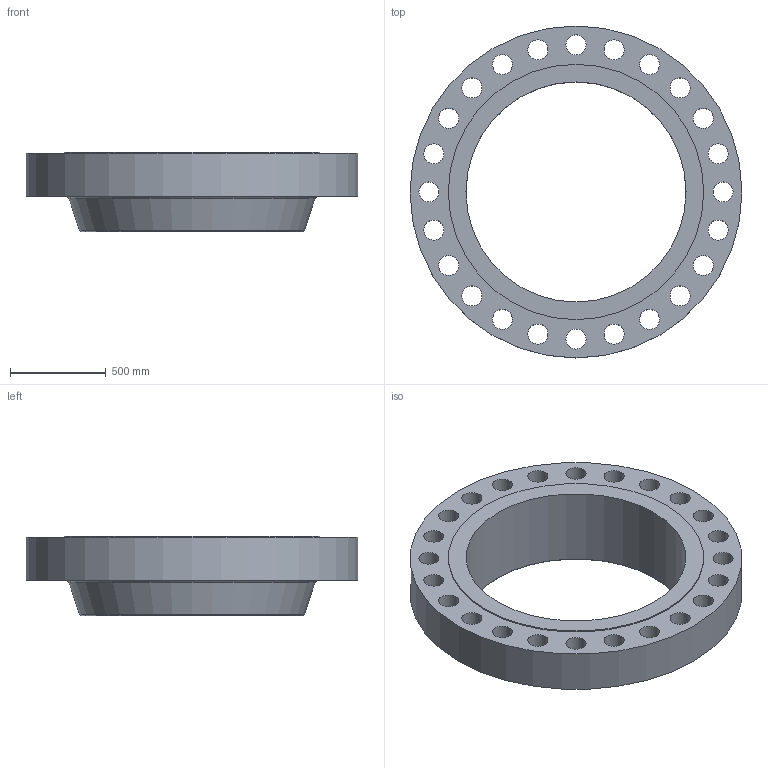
import cadquery as cq
import math

flange_diameter = 1733.55
total_height = 417.51
raised_face_diameter = 1333.5
raised_face_height = 6.35
flange_thickness = 225.4

hub_base_diameter = 1292.225
hub_fillet_radius = 19.05
pipe_diameter = 1174.75
bore_diameter = 1149.35
weld_land = 1.6
weld_bevel_angle = 37.5

bolt_count = 24
bolt_circle_diameter = 1536.7
bolt_hole_diameter = 104.8

bore_radius = bore_diameter / 2
pipe_radius = pipe_diameter / 2
hub_base_radius = hub_base_diameter / 2
flange_radius = flange_diameter / 2
raised_face_radius = raised_face_diameter / 2
land_radius = bore_radius + weld_land
bevel_height = (pipe_radius - land_radius) * math.tan(math.radians(weld_bevel_angle))
flange_top = total_height - raised_face_height
flange_bottom = flange_top - flange_thickness


def weld_neck_body():
    """Revolve the half section about Z, with the weld end at Z = 0."""
    section = [
        (bore_radius, 0),
        (land_radius, 0),
        (pipe_radius, bevel_height),
        (hub_base_radius, flange_bottom),
        (flange_radius, flange_bottom),
        (flange_radius, flange_top),
        (raised_face_radius, flange_top),
        (raised_face_radius, total_height),
        (bore_radius, total_height),
    ]
    return cq.Workplane("XZ").polyline(section).close().revolve(360, (0, 0), (0, 1))


def fillet_hub_base(body):
    """Round the inside corner where the tapered hub meets the flange."""
    corner_margin = 1.0
    reach = hub_base_radius + corner_margin
    corner = cq.selectors.BoxSelector(
        (-reach, -reach, flange_bottom - corner_margin),
        (reach, reach, flange_bottom + corner_margin),
        boundingbox=True,
    )
    return body.edges(corner).fillet(hub_fillet_radius)


def bolt_holes():
    """Through holes equally spaced on the bolt circle, the first on the X axis."""
    return (
        cq.Workplane("XY")
        .workplane(offset=flange_bottom)
        .polarArray(bolt_circle_diameter / 2, 0, 360, bolt_count)
        .circle(bolt_hole_diameter / 2)
        .extrude(flange_thickness)
    )


result = fillet_hub_base(weld_neck_body()).cut(bolt_holes())